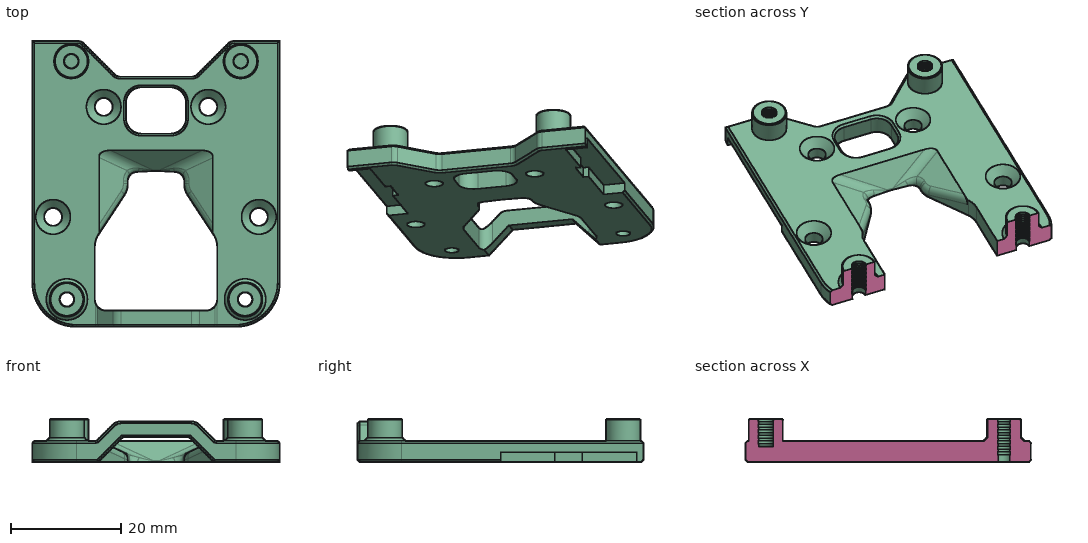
import cadquery as cq
import math

WIDTH = 45.0
LENGTH = 52.0
PLATE_TOP = 3.85
CORNER_RADIUS = 8.0
EDGE_CHAMFER = 0.4

NOTCH_HALF_WIDTH = 13.6
NOTCH_DEPTH = 6.5
NOTCH_RADIUS = 1.5

BRIDGE_TOP = 7.4
BRIDGE_UNDERSIDE = 4.5
BRIDGE_DEPTH = 3.0
BRIDGE_FOOT_X = 10.8
TUNNEL_FOOT_X = 10.5
BRIDGE_RADIUS = 2.0
BRIDGE_FOOT_RADIUS = 0.5

OPENING_HALF_WIDTH = 11.1
OPENING_FRONT_RADIUS = 2.0
OPENING_BACK_HALF_WIDTH = 5.1
OPENING_BACK_RADIUS = 1.5
OPENING_BACK_Y = 28.1
OPENING_TAPER_START_Y = 15.8
OPENING_TAPER_END_Y = 24.9
OPENING_TAPER_RADIUS = 4.0

FUNNEL_HALF_WIDTH = 10.36
FUNNEL_FRONT_Y = 10.0
FUNNEL_BACK_Y = 32.1
FUNNEL_SIDE_ANGLE = 25.0
FUNNEL_OVERSHOOT = 2.0
FUNNEL_VALLEY_RADIUS = 2.5
FUNNEL_LIP_RADIUS = 1.5

WINDOW_WIDTH = 10.9
WINDOW_LENGTH = 8.4
WINDOW_RADIUS = 2.8
WINDOW_Y = 39.35
WINDOW_CHAMFER = 0.4

BOSS_DIAMETER = 6.3
BOSS_TOP = 7.85
BOSS_RIM_CHAMFER = 0.2
BOSS_BASE_FLARE = 0.6
THREAD_MAJOR_DIAMETER = 2.7
THREAD_MINOR_DIAMETER = 2.53
THREAD_PITCH = 1.0
BLIND_HOLE_DEPTH = 5.0
BACK_BOSS_X = 15.4
BACK_BOSS_Y = 48.3
FRONT_BOSS_X = 16.2
FRONT_BOSS_Y = 5.0

SCREW_HOLE_DIAMETER = 3.2
COUNTERSINK_DIAMETER = 6.3
COUNTERSINK_ANGLE = 90.0
SCREW_POSITIONS = [(9.5, 40.0), (18.7, 20.0)]

POCKET_HEIGHT = 1.8
POCKET_FRONT_Y = 26.0
POCKET_BACK_Y = 50.8
POCKET_DEPTH = 4.0
POCKET_STEP_LENGTH = 5.0
POCKET_STEP_DEPTH = 1.0

HALF_WIDTH = WIDTH / 2
SIDES = (-1, 1)
FAR = 10.0
TOUCH = 0.05


def upright_edges_within(y_min, y_max, half_width):
    """Selector for edges centred in a strip of Y and within half_width of the middle."""
    return cq.selectors.BoxSelector((-half_width, y_min, -FAR), (half_width, y_max, FAR))


def edges_at_height(z):
    """Selector for edges centred at one height."""
    return cq.selectors.BoxSelector((-WIDTH, -LENGTH, z - TOUCH), (WIDTH, 2 * LENGTH, z + TOUCH))


def make_plate():
    """Plate with rounded front corners and a notched back edge."""
    notch_floor_half = NOTCH_HALF_WIDTH - NOTCH_DEPTH
    notch_floor_y = LENGTH - NOTCH_DEPTH
    plate = (
        cq.Workplane("XY")
        .moveTo(-HALF_WIDTH, 0)
        .lineTo(HALF_WIDTH, 0)
        .lineTo(HALF_WIDTH, LENGTH)
        .lineTo(NOTCH_HALF_WIDTH, LENGTH)
        .lineTo(notch_floor_half, notch_floor_y)
        .lineTo(-notch_floor_half, notch_floor_y)
        .lineTo(-NOTCH_HALF_WIDTH, LENGTH)
        .lineTo(-HALF_WIDTH, LENGTH)
        .close()
        .extrude(PLATE_TOP)
    )
    plate = plate.edges("|Z and <Y").fillet(CORNER_RADIUS)
    notch_corners = upright_edges_within(notch_floor_y - 1, LENGTH + 1, HALF_WIDTH - 1)
    return plate.edges("|Z").edges(notch_corners).fillet(NOTCH_RADIUS)


def trapezoid_bar(foot_x, foot_z, top_z):
    """Bar along Y whose section is a trapezoid with sides leaning in at 45 degrees."""
    top_x = foot_x - (top_z - foot_z)
    return (
        cq.Workplane("XZ")
        .polyline([(-foot_x, foot_z), (foot_x, foot_z), (top_x, top_z), (-top_x, top_z)])
        .close()
        .extrude(-BRIDGE_DEPTH - OPENING_FRONT_RADIUS)
    )


def add_bridge(plate):
    """Raised bridge with a tunnel under it; the opening later trims its back."""
    bridge = trapezoid_bar(BRIDGE_FOOT_X, PLATE_TOP, BRIDGE_TOP)
    bridge = bridge.edges("|Y and >Z").fillet(BRIDGE_RADIUS)
    tunnel = trapezoid_bar(TUNNEL_FOOT_X, 0, BRIDGE_UNDERSIDE)
    body = plate.union(bridge)
    foot_creases = cq.selectors.BoxSelector(
        (-BRIDGE_FOOT_X - TOUCH, 0, PLATE_TOP - TOUCH),
        (BRIDGE_FOOT_X + TOUCH, LENGTH, PLATE_TOP + TOUCH),
    )
    body = body.edges("|Y").edges(foot_creases).fillet(BRIDGE_FOOT_RADIUS)
    return body.cut(tunnel)


def cut_side_pockets(body):
    """Pockets in the underside, open at the sides and stepped deeper at mid length."""
    length = POCKET_BACK_Y - POCKET_FRONT_Y
    middle_y = (POCKET_BACK_Y + POCKET_FRONT_Y) / 2
    for side in SIDES:
        for step_length, depth in (
            (length, POCKET_DEPTH),
            (POCKET_STEP_LENGTH, POCKET_DEPTH + POCKET_STEP_DEPTH),
        ):
            pocket = cq.Workplane("XY").box(depth, step_length, POCKET_HEIGHT, centered=(True, True, False))
            pocket = pocket.translate((side * (HALF_WIDTH - depth / 2), middle_y, 0))
            body = body.cut(pocket)
    return body


def chamfer_outline(body):
    """Chamfer the front face, the top outline and the bottom outline outside the pockets."""
    front = body.faces("<Y").edges("not |Z")
    bridge_inner_edges = cq.selectors.BoxSelector(
        (-OPENING_HALF_WIDTH, TOUCH, 0),
        (OPENING_HALF_WIDTH, BRIDGE_DEPTH + OPENING_FRONT_RADIUS + TOUCH, BRIDGE_TOP),
    )
    outline = edges_at_height(0) + edges_at_height(PLATE_TOP) - bridge_inner_edges
    pocket_inner_x = HALF_WIDTH - POCKET_DEPTH - POCKET_STEP_DEPTH - TOUCH
    for side in SIDES:
        pocket_edges = cq.selectors.BoxSelector(
            (side * pocket_inner_x, POCKET_FRONT_Y - TOUCH, -TOUCH),
            (side * (HALF_WIDTH + TOUCH), LENGTH - TOUCH, TOUCH),
        )
        outline = outline - pocket_edges
    return front.add(body.edges(outline)).chamfer(EDGE_CHAMFER)


def make_opening(top):
    """Prism of the main opening, reaching from well below the part up to the given height."""
    opening = (
        cq.Workplane("XY", origin=(0, 0, -FAR))
        .moveTo(-OPENING_HALF_WIDTH, BRIDGE_DEPTH)
        .lineTo(OPENING_HALF_WIDTH, BRIDGE_DEPTH)
        .lineTo(OPENING_HALF_WIDTH, OPENING_TAPER_START_Y)
        .lineTo(OPENING_BACK_HALF_WIDTH, OPENING_TAPER_END_Y)
        .lineTo(OPENING_BACK_HALF_WIDTH, OPENING_BACK_Y)
        .lineTo(-OPENING_BACK_HALF_WIDTH, OPENING_BACK_Y)
        .lineTo(-OPENING_BACK_HALF_WIDTH, OPENING_TAPER_END_Y)
        .lineTo(-OPENING_HALF_WIDTH, OPENING_TAPER_START_Y)
        .close()
        .extrude(top + FAR)
    )
    taper_ends = upright_edges_within(
        OPENING_TAPER_START_Y - 0.5, OPENING_TAPER_END_Y + 0.5, HALF_WIDTH
    )
    opening = opening.edges("|Z").edges(taper_ends).fillet(OPENING_TAPER_RADIUS)
    opening = opening.edges("|Z and <Y").fillet(OPENING_FRONT_RADIUS)
    return opening.edges("|Z and >Y").fillet(OPENING_BACK_RADIUS)


def make_funnel(top):
    """Cutter with two sloping sides and a back at 45 degrees, widening up to the given height."""
    rise = top - PLATE_TOP
    side_slope = math.tan(math.radians(FUNNEL_SIDE_ANGLE))
    half_width = FUNNEL_HALF_WIDTH + rise / side_slope
    length = FUNNEL_BACK_Y + rise - FUNNEL_FRONT_Y
    sides = (
        cq.Workplane("XZ", origin=(0, FUNNEL_FRONT_Y, 0))
        .polyline([(-half_width, top), (half_width, top), (0, top - half_width * side_slope)])
        .close()
        .extrude(-length)
    )
    back = (
        cq.Workplane("YZ")
        .polyline([
            (FUNNEL_FRONT_Y, top),
            (FUNNEL_BACK_Y + rise, top),
            (FUNNEL_BACK_Y - FAR, PLATE_TOP - FAR),
            (FUNNEL_FRONT_Y, PLATE_TOP - FAR),
        ])
        .close()
        .extrude(half_width, both=True)
    )
    funnel = sides.intersect(back)
    valleys = [
        edge for edge in funnel.edges().vals()
        if min(abs(part) for part in edge.tangentAt(0).toTuple()) > 0.1
    ]
    return funnel.newObject(valleys).fillet(FUNNEL_VALLEY_RADIUS)


def cut_opening(body):
    """Cut the opening and the funnel, whose lip inside the opening is rounded.

    The lip is rounded on cutters that rise above the plate and is then trimmed to the funnel.
    """
    cutter_top = PLATE_TOP + FUNNEL_OVERSHOOT
    cutter = make_opening(cutter_top).union(make_funnel(cutter_top))
    taper_middle_y = (OPENING_TAPER_START_Y + OPENING_TAPER_END_Y) / 2
    lips = cq.selectors.BoxSelector(
        (-FUNNEL_HALF_WIDTH, taper_middle_y - 1, 0),
        (FUNNEL_HALF_WIDTH, taper_middle_y + 1, PLATE_TOP),
    )
    cutter = cutter.edges(lips).fillet(FUNNEL_LIP_RADIUS)
    funnel_bounds = cq.Workplane("XY").box(
        2 * FUNNEL_HALF_WIDTH, 2 * LENGTH, PLATE_TOP, centered=(True, True, False)
    )
    return body.cut(cutter.intersect(funnel_bounds)).cut(make_opening(BOSS_TOP))


def cut_window(body):
    """Rounded rectangular window with a chamfered upper rim."""
    window = (
        cq.Workplane("XY", origin=(0, WINDOW_Y, 0))
        .rect(WINDOW_WIDTH, WINDOW_LENGTH)
        .extrude(PLATE_TOP)
        .edges("|Z")
        .fillet(WINDOW_RADIUS)
    )
    rim = cq.selectors.BoxSelector(
        (-WINDOW_WIDTH / 2 - TOUCH, WINDOW_Y - WINDOW_LENGTH / 2 - TOUCH, PLATE_TOP - TOUCH),
        (WINDOW_WIDTH / 2 + TOUCH, WINDOW_Y + WINDOW_LENGTH / 2 + TOUCH, PLATE_TOP + TOUCH),
    )
    return body.cut(window).edges(rim).chamfer(WINDOW_CHAMFER)


def cut_screw_holes(body):
    """Countersunk through holes, mirrored about the middle."""
    countersink_depth = COUNTERSINK_DIAMETER / 2 / math.tan(math.radians(COUNTERSINK_ANGLE / 2))
    for side in SIDES:
        for x, y in SCREW_POSITIONS:
            place = cq.Vector(side * x, y, 0)
            hole = cq.Solid.makeCylinder(SCREW_HOLE_DIAMETER / 2, PLATE_TOP, place)
            countersink = cq.Solid.makeCone(
                0,
                COUNTERSINK_DIAMETER / 2,
                countersink_depth,
                place + cq.Vector(0, 0, PLATE_TOP - countersink_depth),
            )
            body = body.cut(cq.Workplane(hole)).cut(cq.Workplane(countersink))
    return body


def make_threaded_hole(x, y, depth):
    """Cutter for a boss hole: the thread is a stack of rings, wide and narrow in turn."""
    hole = cq.Workplane("XY", origin=(x, y, BOSS_TOP)).circle(THREAD_MINOR_DIAMETER / 2).extrude(-depth)
    for ring in range(int(depth / THREAD_PITCH)):
        ring_top = BOSS_TOP - ring * THREAD_PITCH
        groove = (
            cq.Workplane("XY", origin=(x, y, ring_top))
            .circle(THREAD_MAJOR_DIAMETER / 2)
            .extrude(-THREAD_PITCH / 2)
        )
        hole = hole.union(groove)
    return hole


def add_boss(body, x, y, base_flare, hole_depth):
    """Cylindrical boss with a chamfered rim, a flared base if asked for, and a threaded hole."""
    boss = (
        cq.Workplane("XY", origin=(x, y, PLATE_TOP))
        .circle(BOSS_DIAMETER / 2)
        .extrude(BOSS_TOP - PLATE_TOP)
        .faces(">Z")
        .edges()
        .chamfer(BOSS_RIM_CHAMFER)
    )
    body = body.union(boss)
    if base_flare > 0:
        flare = cq.Solid.makeCone(
            BOSS_DIAMETER / 2 + base_flare, BOSS_DIAMETER / 2, base_flare, cq.Vector(x, y, PLATE_TOP)
        )
        body = body.union(cq.Workplane(flare))
    return body.cut(make_threaded_hole(x, y, hole_depth))


body = add_bridge(make_plate())
body = cut_side_pockets(body)
body = chamfer_outline(body)
body = cut_opening(body)
body = cut_window(body)
body = cut_screw_holes(body)
for side in SIDES:
    body = add_boss(body, side * BACK_BOSS_X, BACK_BOSS_Y, 0, BLIND_HOLE_DEPTH)
    body = add_boss(body, side * FRONT_BOSS_X, FRONT_BOSS_Y, BOSS_BASE_FLARE, BOSS_TOP)

result = body